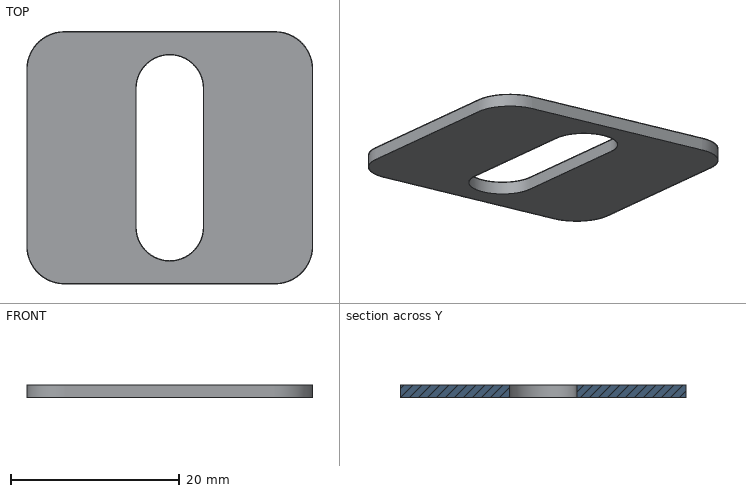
import cadquery as cq

plate_width = 34.0
plate_depth = 30.0
plate_thickness = 1.5
corner_radius = 4.5

slot_width = 8.0
slot_length = 24.5


def make_plate():
    """Flat plate with rounded vertical corners, resting on Z = 0."""
    plate = cq.Workplane("XY").rect(plate_width, plate_depth).extrude(plate_thickness)
    return plate.edges("|Z").fillet(corner_radius)


def make_slot_cutter():
    """Round-ended slot as thick as the plate, centred on it."""
    return cq.Workplane("XY").slot2D(slot_length, slot_width, angle=90).extrude(plate_thickness)


result = make_plate().cut(make_slot_cutter())